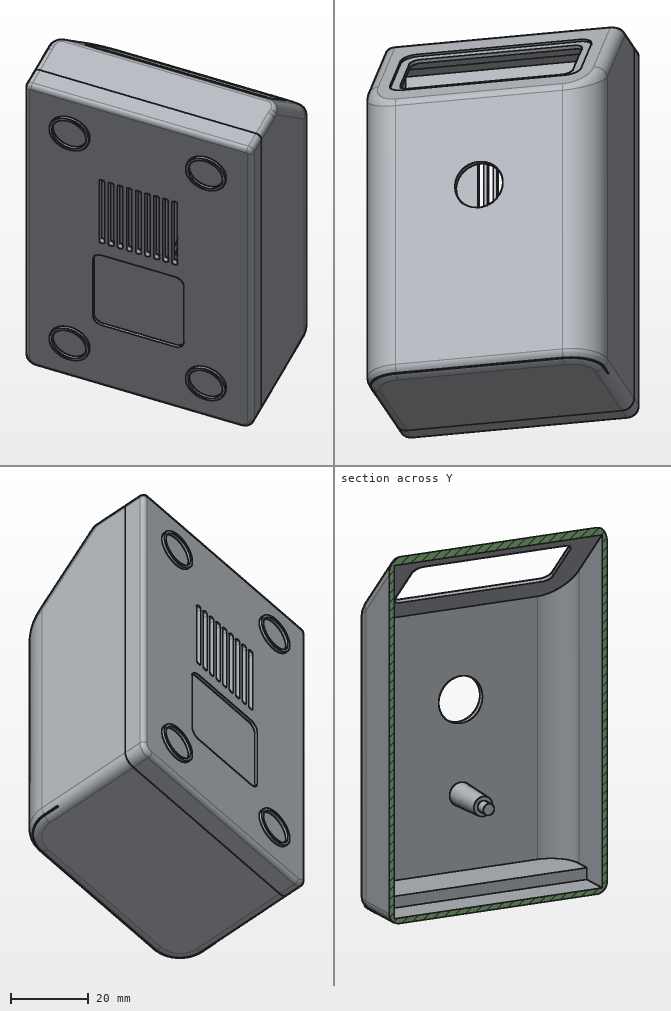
import cadquery as cq
import math

width = 63.5
height = 101.6
depth = 44.4
base_depth = 6.3
wall = 1.6
slant = 25.4

rear_radius = 9.5
bottom_radius = 3.1
slant_radius = 3.1
top_radius = 1.6
front_radius = 1.3

recess_width = 50.8
recess_length = 22.9
recess_depth = 0.6
recess_corner = 3.9
opening_width = 45.9
opening_length = 18.5
opening_corner = 2.5

rear_hole_diameter = 12.7
shoulder_offset = 14.2
shelf_height = 3.1
peg_z = 25.4
peg_root_diameter = 6.5
peg_shoulder_diameter = 5.4
peg_tip_diameter = 3.1
peg_tip_length = 3.1

slot_count = 9
slot_pitch = 2.5
slot_width = 1.5
slot_corner = 0.6
slot_length = 22.9
slot_center_z = 63.5
panel_size = 25.4
panel_corner = 2.5
panel_depth = 0.8
panel_center_z = 35.0
foot_diameter = 11.1
foot_recess_diameter = 9.5
foot_height = 0.8
foot_recess_depth = 0.8
foot_inset = 12.7
foot_spacing = 38.1

peg_shoulder_y = depth - shoulder_offset
foot_places = [
    (x, z)
    for x in (-foot_spacing / 2, foot_spacing / 2)
    for z in (foot_inset, height - foot_inset)
]
slant_plane = cq.Plane(
    origin=(0, depth - slant / 2, height - slant / 2), xDir=(1, 0, 0), normal=(0, 1, 1)
)


def make_case_form(inset):
    """Case without edge rounding except its vertical rear edges, with every face moved inward."""
    legs = slant - inset * (2 - math.sqrt(2))
    low, front = inset, inset
    high, rear = height - inset, depth - inset
    profile = [(front, low), (rear, low), (rear, high - legs), (rear - legs, high), (front, high)]
    form = cq.Workplane("YZ").polyline(profile).close().extrude(width / 2 - inset, both=True)
    return form.edges("|Z and >Y").fillet(rear_radius - inset)


def make_rounded_case():
    case = make_case_form(0)
    slanted_face = case.faces(cq.selectors.DirectionMinMaxSelector(cq.Vector(0, 1, 1)))
    case = slanted_face.edges("not >Z").fillet(slant_radius)
    case = case.faces(">Z").edges("not <Y").fillet(top_radius)
    case = case.faces("<Z").edges("not <Y").fillet(bottom_radius)
    return case.faces("<Y").edges().fillet(front_radius)


def make_front_slab():
    """Block that holds everything in front of the joint between base and housing."""
    size_x, size_z = 2 * width, 2 * height
    return cq.Workplane("XY").box(size_x, base_depth, size_z, centered=(True, False, True))


def rounded_cut(plane, size_x, size_y, corner, cut_depth):
    """Rounded rectangular prism that reaches inward from the plane."""
    prism = cq.Workplane(plane).rect(size_x, size_y).extrude(-cut_depth)
    return prism.edges(cq.selectors.ParallelDirSelector(plane.zDir)).fillet(corner)


def front_plane(x, z, y=0.0):
    """Plane that looks toward -Y, with X to the right and Z up."""
    return cq.Plane(origin=(x, y, z), xDir=(1, 0, 0), normal=(0, -1, 0))


def make_window():
    recess = rounded_cut(slant_plane, recess_width, recess_length, recess_corner, recess_depth)
    opening = rounded_cut(slant_plane, opening_width, opening_length, opening_corner, 2 * wall)
    return recess.union(opening)


def make_peg():
    """Drafted boss on the rear wall with a thinner pin at its end."""
    root_y = depth - wall / 2
    boss = (
        cq.Workplane(front_plane(0, peg_z, root_y))
        .circle(peg_root_diameter / 2)
        .workplane(offset=root_y - peg_shoulder_y)
        .circle(peg_shoulder_diameter / 2)
        .loft()
    )
    tip = (
        cq.Workplane(front_plane(0, peg_z, peg_shoulder_y))
        .circle(peg_tip_diameter / 2)
        .extrude(peg_tip_length)
    )
    return boss.union(tip)


def make_shelf():
    """Step across the floor of the housing, against the rear wall."""
    form = make_case_form(wall / 2)
    top_z = wall + shelf_height
    block = cq.Workplane("XY").box(width, shoulder_offset, top_z, centered=(True, False, False))
    return form.intersect(block.translate((0, peg_shoulder_y, 0)))


def make_housing(case, cavity):
    housing = case.cut(make_front_slab()).cut(cavity)
    housing = housing.union(make_shelf()).union(make_peg())
    rear_hole = (
        cq.Workplane(front_plane(0, height / 2, depth))
        .circle(rear_hole_diameter / 2)
        .extrude(2 * wall)
    )
    return housing.cut(rear_hole).cut(make_window())


def make_base(case, cavity):
    base = case.intersect(make_front_slab()).cut(cavity)
    for i in range(slot_count):
        x = (i - (slot_count - 1) / 2) * slot_pitch
        plane = front_plane(x, slot_center_z)
        base = base.cut(rounded_cut(plane, slot_width, slot_length, slot_corner, 2 * wall))
    plane = front_plane(0, panel_center_z)
    base = base.cut(rounded_cut(plane, panel_size, panel_size, panel_corner, panel_depth))
    for x, z in foot_places:
        foot = cq.Workplane(front_plane(x, z, wall / 2)).circle(foot_diameter / 2)
        base = base.union(foot.extrude(wall / 2 + foot_height))
        recess = cq.Workplane(front_plane(x, z, -foot_height)).circle(foot_recess_diameter / 2)
        base = base.cut(recess.extrude(-foot_recess_depth))
    return base


case = make_rounded_case()
cavity = make_case_form(wall)
housing = make_housing(case, cavity)
base = make_base(case, cavity)

result = cq.Compound.makeCompound([housing.val(), base.val()])